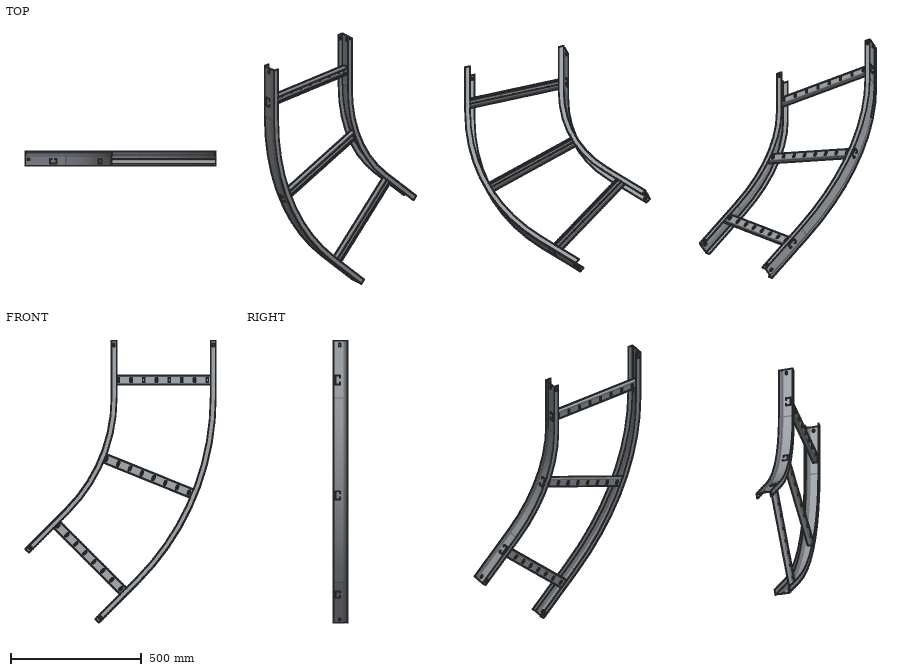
import cadquery as cq
import math


BEND_ANGLE = 45.0
TOTAL_HEIGHT = 1079.0
INNER_RADIUS = 600.0
OUTER_RADIUS = 999.0
LEG_LENGTH = (TOTAL_HEIGHT - OUTER_RADIUS * math.sin(math.radians(BEND_ANGLE))) / (
    1 + math.cos(math.radians(BEND_ANGLE))
)

RAIL_DEPTH = 55.0
FLANGE_WIDTH = 20.0
RAIL_SHEET = 1.0
BEAD_DEPTH = 2.7
BEAD_EDGE_GAP = 3.8
BEAD_WIDTH = 11.0
BEAD_SLOPE = 3.8
BEAD_FOLD_RADIUS = 3.0
BEAD_BACK = RAIL_DEPTH - BEAD_EDGE_GAP
BEAD_FRONT = BEAD_BACK - BEAD_WIDTH

END_SLOT_LENGTH = 13.0
END_SLOT_WIDTH = 6.0
END_SLOT_SETBACK = 17.0
WEB_SLOT_Y = 25.0

RUNG_HEIGHT = 36.0
RUNG_DEPTH = 19.0
RUNG_FRONT_Y = 8.0
RUNG_SHEET = 1.5
RUNG_LIP = 9.0
RUNG_SETBACK = 151.0
MIDDLE_RUNG_ANGLE = 22.0
RUNG_CORNER_RADIUS = 2.7
RUNG_SLOT_COUNT = 8
RUNG_SLOT_PITCH = 49.0
RUNG_SLOT_LENGTH = 16.0
RUNG_SLOT_WIDTH = 6.0
RUNG_SLOT_SHIFT = -3.0


def on_lower_leg(body):
    """Mirror a body from the upper leg onto the lower leg."""
    half_bend = math.radians(BEND_ANGLE / 2)
    mirror_normal = cq.Vector(math.sin(half_bend), 0, math.cos(half_bend))
    return cq.Workplane(obj=body.val().mirror(mirror_normal, (0, 0, 0)))


def along_bend(section):
    """Carry an XY section along the upper leg, the arc and the lower leg."""
    upper_leg = cq.Workplane("XY").placeSketch(section).extrude(LEG_LENGTH)
    arc = cq.Workplane("XY").placeSketch(section).revolve(BEND_ANGLE, (0, 0, 0), (0, 1, 0))
    return upper_leg.union(arc).union(on_lower_leg(upper_leg))


def rail_section(web_x, inward):
    """Section of a bent-sheet channel; inward is +1 or -1, the way its flanges point along X."""
    bead = [
        (0, BEAD_FRONT),
        (BEAD_DEPTH, BEAD_FRONT + BEAD_SLOPE),
        (BEAD_DEPTH, BEAD_BACK - BEAD_SLOPE),
        (0, BEAD_BACK),
    ]
    outside = [(FLANGE_WIDTH, 0), (0, 0), *bead, (0, RAIL_DEPTH), (FLANGE_WIDTH, RAIL_DEPTH)]
    inside = [
        (FLANGE_WIDTH, RAIL_SHEET),
        (RAIL_SHEET, RAIL_SHEET),
        *[(depth + RAIL_SHEET, y) for depth, y in bead],
        (RAIL_SHEET, RAIL_DEPTH - RAIL_SHEET),
        (FLANGE_WIDTH, RAIL_DEPTH - RAIL_SHEET),
    ]
    outline = [(web_x + inward * depth, y) for depth, y in outside + inside[::-1]]
    bead_folds = cq.selectors.BoxSelector(
        (web_x - FLANGE_WIDTH, BEAD_FRONT - RAIL_SHEET, -RAIL_SHEET),
        (web_x + FLANGE_WIDTH, BEAD_BACK + RAIL_SHEET, RAIL_SHEET),
    )
    return (
        cq.Sketch().polygon([*outline, outline[0]])
        .vertices(bead_folds).fillet(BEAD_FOLD_RADIUS)
    )


def end_slots(web_x, inward):
    """Cutters for the slots in the front flange and the web at the upper end of a rail."""
    slot_z = LEG_LENGTH - END_SLOT_SETBACK
    flange_slot = (
        cq.Workplane("XZ", origin=(web_x + inward * FLANGE_WIDTH / 2, 0, slot_z))
        .slot2D(END_SLOT_LENGTH, END_SLOT_WIDTH, 90)
        .extrude(2 * RAIL_SHEET, both=True)
    )
    web_slot = (
        cq.Workplane("YZ", origin=(web_x, WEB_SLOT_Y, slot_z))
        .slot2D(END_SLOT_LENGTH, END_SLOT_WIDTH, 90)
        .extrude(2 * RAIL_SHEET, both=True)
    )
    return [flange_slot, web_slot]


def side_rail(web_x, inward):
    """A bent channel rail with slots at both ends."""
    rail = along_bend(rail_section(web_x, inward))
    for slot in end_slots(web_x, inward):
        rail = rail.cut(slot).cut(on_lower_leg(slot))
    return rail


def rung_bar():
    """A slotted channel along X, centred on z = 0 and longer than the gap between the rails."""
    middle_x = (INNER_RADIUS + OUTER_RADIUS) / 2
    length = OUTER_RADIUS - INNER_RADIUS + 2 * FLANGE_WIDTH
    middle_y = RUNG_FRONT_Y + RUNG_DEPTH / 2
    bar = (
        cq.Workplane("YZ", origin=(middle_x, middle_y, 0))
        .rect(RUNG_DEPTH, RUNG_HEIGHT)
        .extrude(length / 2, both=True)
        .edges("|X").fillet(RUNG_CORNER_RADIUS)
    )
    hollow = (
        cq.Workplane("YZ", origin=(middle_x, middle_y, 0))
        .rect(RUNG_DEPTH - 2 * RUNG_SHEET, RUNG_HEIGHT - 2 * RUNG_SHEET)
        .extrude(length / 2, both=True)
        .edges("|X").fillet(RUNG_CORNER_RADIUS - RUNG_SHEET)
    )
    mouth = (
        cq.Workplane("YZ", origin=(middle_x, RUNG_FRONT_Y + RUNG_DEPTH, 0))
        .rect(RUNG_DEPTH, RUNG_HEIGHT - 2 * RUNG_LIP)
        .extrude(length / 2, both=True)
    )
    slots = (
        cq.Workplane("XZ", origin=(middle_x + RUNG_SLOT_SHIFT, RUNG_FRONT_Y, 0))
        .rarray(RUNG_SLOT_PITCH, 11, RUNG_SLOT_COUNT, 1)
        .slot2D(RUNG_SLOT_LENGTH, RUNG_SLOT_WIDTH, 90)
        .extrude(2 * RUNG_SHEET, both=True)
    )
    return bar.cut(hollow).cut(mouth).cut(slots)


def placed_rungs():
    """One rung on each leg and one on the arc, each filling the gap between the rail webs."""
    gap_width = OUTER_RADIUS - INNER_RADIUS - 2 * RAIL_SHEET
    middle_of_gap = cq.Location(cq.Vector((INNER_RADIUS + OUTER_RADIUS) / 2, RAIL_DEPTH / 2, 0))
    gap = along_bend(cq.Sketch().push([middle_of_gap]).rect(gap_width, RAIL_DEPTH))
    upper = rung_bar().translate((0, 0, LEG_LENGTH - RUNG_SETBACK))
    middle = rung_bar().rotate((0, 0, 0), (0, 1, 0), MIDDLE_RUNG_ANGLE)
    return [bar.intersect(gap) for bar in (upper, middle, on_lower_leg(upper))]


inner_rail = side_rail(INNER_RADIUS, 1)
outer_rail = side_rail(OUTER_RADIUS, -1)
rungs = placed_rungs()

result = cq.Compound.makeCompound(
    [inner_rail.val(), outer_rail.val(), *[rung.val() for rung in rungs]]
)